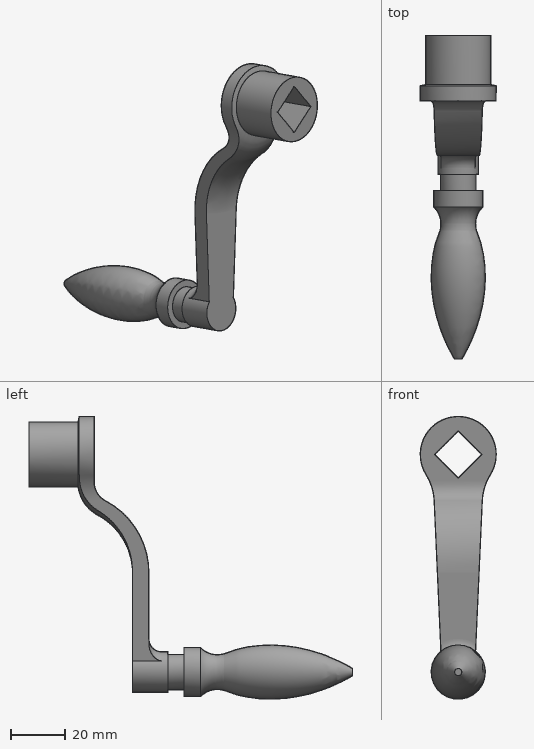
import cadquery as cq
import math

FLANGE_BACK = 18.0
PLATE_THICKNESS = 6.1
ARM_FRONT = 44.1
FILLET_END = 48.8
BOSS_END = 51.0
NECK_END = 57.0
COLLAR_END = 63.1
THROAT_END = 69.1
GRIP_START = 71.9
TIP_CHAMFER_START = 118.0
TOTAL_LENGTH = 119.0
FLANGE_FRONT = FLANGE_BACK + PLATE_THICKNESS

HANDLE_Z = -80.0
UPPER_BEND_START_Z = -10.1
UPPER_BEND_END_Z = -17.0
LOWER_BEND_END_Z = -43.5

BEND_OFFSET = ARM_FRONT - FLANGE_FRONT
BEND_DROP = UPPER_BEND_START_Z - LOWER_BEND_END_Z
BEND_ANGLE = 2 * math.atan2(BEND_OFFSET, BEND_DROP)
UPPER_BEND_RADIUS = (UPPER_BEND_START_Z - UPPER_BEND_END_Z) / math.sin(BEND_ANGLE)
LOWER_BEND_RADIUS = BEND_DROP / math.sin(BEND_ANGLE) - UPPER_BEND_RADIUS

HUB_RADIUS = 12.0
FLANGE_RADIUS = 13.98
SQUARE_SIDE = 12.1

ARM_TOP_HALF_WIDTH = 9.6
ARM_BOTTOM_HALF_WIDTH = 6.1
ARM_FLANGE_FILLET = 20.0

BOSS_RADIUS = 7.5
NECK_RADIUS = 6.5
COLLAR_RADIUS = 9.0
THROAT_RADIUS = 6.4
GRIP_START_RADIUS = 6.8
GRIP_CURVE = [(79.7, 9.2), (88.7, 10.0), (103.5, 8.0)]
TIP_RADIUS = 1.9
END_RADIUS = 1.3


def forward_cylinder(radius, start, end, z=0):
    """Cylinder along Y between two distances from the hub's back."""
    axis_start = cq.Vector(0, -start, z)
    return cq.Workplane(cq.Solid.makeCylinder(radius, end - start, axis_start, cq.Vector(0, -1, 0)))


def revolve_about_handle(profile):
    """Revolve an XY profile about Y and move it to the handle axis."""
    return profile.close().revolve(360, (0, 0, 0), (0, 1, 0)).translate((0, 0, HANDLE_Z))


def make_outline_prism():
    """Front outline of flange and arm, extruded through the whole arm depth."""
    disc = forward_cylinder(FLANGE_RADIUS, FLANGE_BACK, BOSS_END)
    taper = (
        cq.Workplane("XZ", origin=(0, -FLANGE_BACK, 0))
        .moveTo(-ARM_TOP_HALF_WIDTH, 0)
        .lineTo(ARM_TOP_HALF_WIDTH, 0)
        .lineTo(ARM_BOTTOM_HALF_WIDTH, HANDLE_Z)
        .lineTo(-ARM_BOTTOM_HALF_WIDTH, HANDLE_Z)
        .close()
        .extrude(BOSS_END - FLANGE_BACK)
    )
    corner_box = cq.selectors.BoxSelector(
        (-FLANGE_RADIUS, -BOSS_END, -FLANGE_RADIUS), (FLANGE_RADIUS, 0, -FLANGE_RADIUS / 2)
    )
    corners = disc.union(taper).edges("|Y").edges(corner_box)
    return corners.fillet(ARM_FLANGE_FILLET)


def bend_points(upper_radius, lower_radius, start_y, end_y):
    """Ends and middles of two tangent arcs, as (distance below hub axis, y)."""
    half = BEND_ANGLE / 2
    upper = [
        (
            -UPPER_BEND_START_Z + upper_radius * math.sin(angle),
            start_y - upper_radius * (1 - math.cos(angle)),
        )
        for angle in (0, half, BEND_ANGLE)
    ]
    lower = [
        (
            -LOWER_BEND_END_Z - lower_radius * math.sin(angle),
            end_y + lower_radius * (1 - math.cos(angle)),
        )
        for angle in (half, 0)
    ]
    return upper + lower


def make_front_limit():
    """Block behind the arm's front face, which bends straight across X."""
    points = bend_points(UPPER_BEND_RADIUS, LOWER_BEND_RADIUS, -FLANGE_FRONT, -ARM_FRONT)
    start, upper_middle, joint, lower_middle, end = [(y, -depth) for depth, y in points]
    return (
        cq.Workplane("YZ", origin=(-FLANGE_RADIUS, 0, 0))
        .moveTo(0, FLANGE_RADIUS)
        .lineTo(-FLANGE_FRONT, FLANGE_RADIUS)
        .lineTo(*start)
        .threePointArc(upper_middle, joint)
        .threePointArc(lower_middle, end)
        .lineTo(-ARM_FRONT, HANDLE_Z)
        .lineTo(0, HANDLE_Z)
        .close()
        .extrude(2 * FLANGE_RADIUS)
    )


def make_back_limit():
    """Round body ahead of the arm's back face, which is turned about the hub axis."""
    points = bend_points(
        UPPER_BEND_RADIUS + PLATE_THICKNESS,
        LOWER_BEND_RADIUS - PLATE_THICKNESS,
        -FLANGE_BACK,
        -ARM_FRONT + PLATE_THICKNESS,
    )
    start, upper_middle, joint, lower_middle, end = points
    outer_radius = BOSS_RADIUS - HANDLE_Z
    return (
        cq.Workplane("XY")
        .moveTo(0, -FLANGE_BACK)
        .lineTo(*start)
        .threePointArc(upper_middle, joint)
        .threePointArc(lower_middle, end)
        .lineTo(outer_radius, -ARM_FRONT + PLATE_THICKNESS)
        .lineTo(outer_radius, -BOSS_END)
        .lineTo(0, -BOSS_END)
        .close()
        .revolve(360, (0, 0, 0), (0, 1, 0))
    )


def make_boss_flare():
    """Concave flare blending the boss into the front of the arm."""
    radius = FILLET_END - ARM_FRONT
    center_x = BOSS_RADIUS + radius
    diagonal = radius * math.sqrt(0.5)
    profile = (
        cq.Workplane("XY")
        .moveTo(0, -ARM_FRONT)
        .lineTo(center_x, -ARM_FRONT)
        .threePointArc((center_x - diagonal, -FILLET_END + diagonal), (BOSS_RADIUS, -FILLET_END))
        .lineTo(0, -FILLET_END)
    )
    return revolve_about_handle(profile)


def make_handle():
    """Neck, collar, throat and bulging grip turned about the handle axis."""
    grip_points = [(radius, -along) for along, radius in GRIP_CURVE]
    grip_points.append((TIP_RADIUS, -TIP_CHAMFER_START))
    throat_length = THROAT_END - COLLAR_END
    throat_depth = COLLAR_RADIUS - THROAT_RADIUS
    throat_arc_radius = (throat_length**2 + throat_depth**2) / (2 * throat_depth)
    half_angle = math.atan2(throat_depth, throat_length)
    throat_middle = (
        THROAT_RADIUS + throat_arc_radius * (1 - math.cos(half_angle)),
        -THROAT_END + throat_arc_radius * math.sin(half_angle),
    )
    profile = (
        cq.Workplane("XY")
        .moveTo(0, -ARM_FRONT)
        .lineTo(NECK_RADIUS, -ARM_FRONT)
        .lineTo(NECK_RADIUS, -NECK_END)
        .lineTo(COLLAR_RADIUS, -NECK_END)
        .lineTo(COLLAR_RADIUS, -COLLAR_END)
        .threePointArc(throat_middle, (THROAT_RADIUS, -THROAT_END))
        .tangentArcPoint((GRIP_START_RADIUS, -GRIP_START), relative=False)
        .spline(grip_points, includeCurrent=True)
        .lineTo(END_RADIUS, -TOTAL_LENGTH)
        .lineTo(0, -TOTAL_LENGTH)
    )
    return revolve_about_handle(profile)


outline = make_outline_prism()
arm = outline.intersect(make_front_limit()).intersect(make_back_limit())
flare = make_boss_flare().intersect(outline)
hub = forward_cylinder(HUB_RADIUS, 0, FLANGE_FRONT)
boss = forward_cylinder(BOSS_RADIUS, ARM_FRONT - PLATE_THICKNESS, BOSS_END, HANDLE_Z)
square_hole = (
    cq.Workplane("XZ")
    .transformed(rotate=(0, 0, 45))
    .rect(SQUARE_SIDE, SQUARE_SIDE)
    .extrude(FLANGE_FRONT)
)

result = arm.union(flare).union(hub).union(boss).union(make_handle()).cut(square_hole)